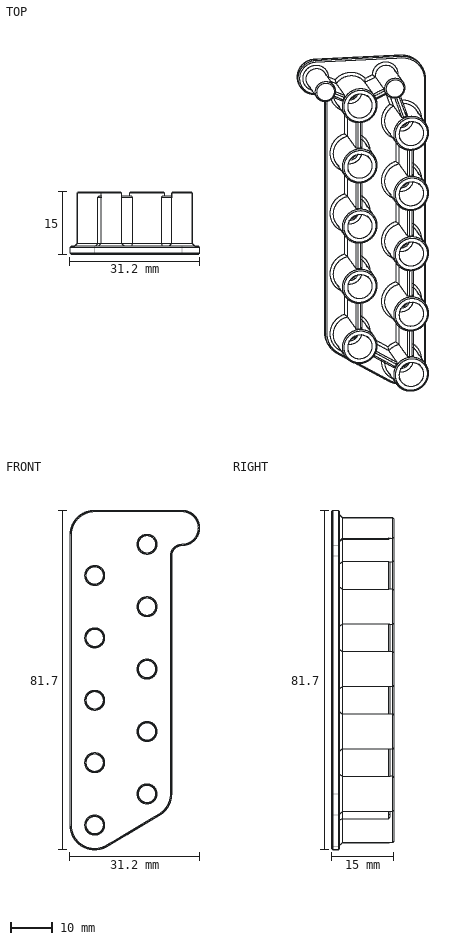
import cadquery as cq
import math


height = 81.7
width = 31.2
plate_thickness = 2.0
edge_chamfer = 0.3
margin = 1.7

boss_radius = 8.5 / 2
pin_radius = 5.0 / 2
bore_radius = 4.2 / 2
socket_radius = 6.0 / 2
socket_floor = 1.6
total_depth = 15.0
foot = 0.65
root_depth = plate_thickness / 2
wall_thickness = 1.5
wall_top = 14.1
wall_chamfer = 0.4

boss_count = 5
column_span = 60.1
pitch = column_span / (boss_count - 1)
column_spacing = 12.6
corner_radius = boss_radius + margin
left_x = corner_radius
right_x = left_x + column_spacing
left_column = [(left_x, corner_radius + i * pitch) for i in range(boss_count)]
right_column = [(right_x, z + pitch / 2) for _, z in left_column]

lobe_radius = 4.25
pin_z = height - lobe_radius
left_pin_x = 10.0
left_pin = (left_pin_x, pin_z)
right_pin = (width - lobe_radius, pin_z)


def plate():
    """Plate outline follows the bosses, with a lobe around the right pin."""
    right_edge = right_x + corner_radius
    lobe_x = right_pin[0]
    neck_radius = lobe_x - right_edge
    neck_z = pin_z - lobe_radius - neck_radius
    low, high = left_column[0], right_column[0]
    slope = math.atan2(high[1] - low[1], high[0] - low[0])

    def on_corner(center, angle):
        x = center[0] + corner_radius * math.cos(angle)
        return (x, center[1] + corner_radius * math.sin(angle))

    down = slope - math.pi / 2
    top_z = height - corner_radius
    diagonal = math.sqrt(0.5)
    outline = (
        cq.Workplane("XZ")
        .moveTo(0, low[1])
        .threePointArc(on_corner(low, (down - math.pi) / 2), on_corner(low, down))
        .lineTo(*on_corner(high, down))
        .threePointArc(on_corner(high, down / 2), (right_edge, high[1]))
        .lineTo(right_edge, neck_z)
        .threePointArc(
            (lobe_x - neck_radius * diagonal, neck_z + neck_radius * diagonal),
            (lobe_x, neck_z + neck_radius),
        )
        .threePointArc((lobe_x + lobe_radius, pin_z), (lobe_x, height))
        .lineTo(corner_radius, height)
        .threePointArc(on_corner((corner_radius, top_z), 0.75 * math.pi), (0, top_z))
        .close()
    )
    return outline.extrude(-plate_thickness).faces("<Y or >Y").edges().chamfer(edge_chamfer)


def turned_at(center, profile):
    """Revolve a (radius, Y) profile about the Y axis and move it to an (X, Z) centre."""
    x, z = center
    turned = cq.Workplane("XY").polyline(profile).close().revolve(360, (0, 0, 0), (0, 1, 0))
    return turned.translate((x, 0, z))


def post(center, radius):
    """Round post standing on the plate, flared at its foot."""
    profile = [
        (0, root_depth),
        (radius + foot, root_depth),
        (radius + foot, plate_thickness),
        (radius, plate_thickness + foot),
        (radius, total_depth - edge_chamfer),
        (radius - edge_chamfer, total_depth),
        (0, total_depth),
    ]
    return turned_at(center, profile)


def wall(start, end):
    """Straight wall between two post centres, flared at the plate and chamfered on top."""
    half = wall_thickness / 2
    profile = [
        (half + foot, root_depth),
        (half + foot, plate_thickness),
        (half, plate_thickness + foot),
        (half, wall_top - wall_chamfer),
        (half - wall_chamfer, wall_top),
    ]
    profile += [(-across, y) for across, y in reversed(profile)]
    run, rise = end[0] - start[0], end[1] - start[1]
    section = cq.Plane(origin=(start[0], 0, start[1]), xDir=(-rise, 0, run), normal=(-run, 0, -rise))
    return cq.Workplane(section).polyline(profile).close().extrude(-math.hypot(run, rise))


def bore(center):
    """Through bore, countersunk in the plain face and widened to a socket inside the boss."""
    profile = [
        (0, 0),
        (bore_radius + edge_chamfer, 0),
        (bore_radius, edge_chamfer),
        (bore_radius, socket_floor),
        (socket_radius, socket_floor),
        (socket_radius, total_depth),
        (0, total_depth),
    ]
    return turned_at(center, profile)


bosses = left_column + right_column
result = plate()

ring = left_column + [left_pin] + right_column[::-1]
for start, end in zip(ring, ring[1:] + ring[:1]):
    result = result.union(wall(start, end))
result = result.union(wall(right_column[-1], right_pin))

for center in bosses:
    result = result.union(post(center, boss_radius))
for center in (left_pin, right_pin):
    result = result.union(post(center, pin_radius))
for center in bosses:
    result = result.cut(bore(center))